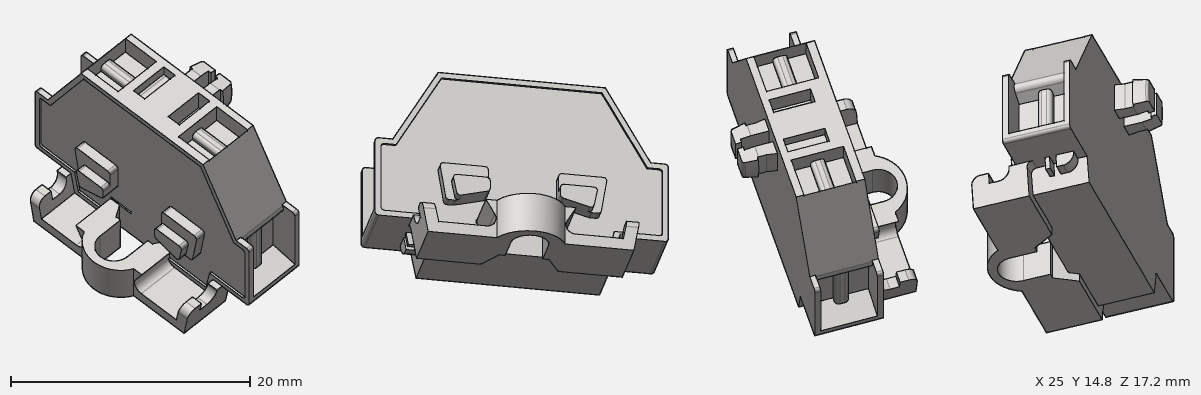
import cadquery as cq
import math


width = 25.0
height = 17.2
depth = 6.0
roof_half = 7.12
shoulder_half = 11.0
shoulder_z = 10.52
side_bottom_z = 3.22
foot_bottom_z = 0.78
foot_top_half = 8.3
foot_bottom_half = 7.82
corner_radius = 0.3
border = 0.5
panel_depth = 0.2

entry_y = (0.55, 5.5)
entry_back_x = 9.95
entry_mouth_floor_z = 4.0
entry_back_floor_z = 4.42
entry_back_roof_z = 9.08
entry_roof_angle = 30.0
entry_lip_radius = 0.6

bar_width = 1.25
bar_height = 0.68
bar_radius = 0.4
bar_y = 3.02

pocket_y = (0.75, 5.32)
pocket_inner_x = 3.52
pocket_overrun = 0.02
pocket_depth = 1.78
slot_y = (1.72, 5.35)
slot_x = (1.38, 2.68)
left_slot_depth = 1.0
left_ramp_width = 0.22
left_ramp_rise = 0.05
right_slot_depth = 1.95
right_ledge_depth = 1.78
right_ledge_width = 0.22
right_ramp_width = 0.32

peg_inner_x = 3.0
peg_toe_x = 5.8
peg_bottom_z = 4.9
peg_inner_bottom_z = 5.65
peg_base_top_z = 8.32
peg_base_top_x = 7.15
peg_base_bottom_x = 6.6
peg_base_projection = 0.75
peg_tip_top_z = 6.9
peg_tip_top_x = 6.2
peg_tip_projection = 1.58

clip_front_y = -3.98
clip_rear_y = 1.0
clip_half = 8.78
clip_floor_z = 1.02
clip_slant = math.tan(math.radians(10))
dovetail_top_z = 3.52
dovetail_half = 3.85
dovetail_angle = 60.0
dovetail_fillet = 0.8
ring_half = 2.9
ring_front_y = -5.78
eye_half = 1.6
eye_center_y = -3.38
flare_start_y = -0.95
flare_half = 2.12
flare_slope = 0.6
relief_x = (1.48, 3.85)
relief_z = (3.48, 3.7)
relief_depth = 0.5

hook_floor_z = 2.05
hook_notch_y = (-2.42, -0.6)
hook_notch_radius = 1.0
hook_front_top_z = 3.0
hook_nose_radius = 0.8
wall_rear_fillet = 0.5
key_y = (3.6, 5.18)
key_bottom_z = 2.12
rib_y = (2.62, 3.02)

pin_z = (13.15, 15.85)
pin_end = 3.02
pin_root_half = 1.78
pin_neck_half = 1.62
pin_neck_start = 0.9
pin_head_start = 1.7
pin_head_half = 2.02
pin_tip_half = 1.8
pin_tip_fillet = 0.25
pin_crown_radius = 7.25
pin_gap_half = 0.55
pin_lip_half = 0.25
pin_lip_start = 2.5
pin_taper_start = 1.6
pin_taper_drop = 0.2


def y_prism(outline, y_start, y_end):
    """Extrude a closed XZ sketch from y_start to y_end."""
    return outline.extrude(y_start - y_end).translate((0, y_start, 0))


def mirrored_pair(solid):
    return solid.union(solid.mirror("YZ"))


def box(x_range, y_range, z_range):
    sizes = [end - start for start, end in (x_range, y_range, z_range)]
    return cq.Workplane("XY").box(*sizes, centered=False).translate(
        (x_range[0], y_range[0], z_range[0])
    )


def foot_half(z):
    """Half width of the tapered foot at height z."""
    slope = (foot_top_half - foot_bottom_half) / (side_bottom_z - foot_bottom_z)
    return foot_bottom_half + slope * (z - foot_bottom_z)


def housing_outline(bottom_z):
    right_half = [
        (roof_half, height),
        (shoulder_half, shoulder_z),
        (width / 2, shoulder_z),
        (width / 2, side_bottom_z),
        (foot_top_half, side_bottom_z),
        (foot_half(bottom_z), bottom_z),
    ]
    left_half = [(-x, z) for x, z in reversed(right_half)]
    return cq.Workplane("XZ").polyline(right_half + left_half).close()


def make_housing():
    body = y_prism(housing_outline(foot_bottom_z), 0, depth)
    body = body.edges("|Y and (<X or >X)").fillet(corner_radius)
    panel = y_prism(housing_outline(clip_floor_z).offset2D(-border, "intersection"), 0, panel_depth)
    panel = panel.edges("|Y and (<X or >X)").fillet(corner_radius)
    eye_width = flare_half + flare_slope * (panel_depth - flare_start_y)
    runout = box((-eye_width, eye_width), (0, panel_depth), (foot_bottom_z, side_bottom_z))
    return body.cut(panel).cut(runout)


def contact_bar(length):
    """Round-topped bar along +X, standing on Z = 0 and centred on Y = 0."""
    bar = cq.Workplane("XY").box(length, bar_width, bar_height, centered=(False, True, False))
    return bar.edges("|X and >Z").fillet(bar_radius)


def wire_entry():
    """Right-hand wire entry, open at the end and through the shoulder."""
    roof_run = (shoulder_half - roof_half) / (height - shoulder_z)
    ceiling_rise = math.tan(math.radians(entry_roof_angle))
    x_at_back_roof = shoulder_half + roof_run * (shoulder_z - entry_back_roof_z)
    lip_rise = ceiling_rise * (x_at_back_roof - entry_back_x) / (1 + ceiling_rise * roof_run)
    lip = (x_at_back_roof - roof_run * lip_rise, entry_back_roof_z + lip_rise)
    cavity = y_prism(
        cq.Workplane("XZ").polyline([
            (entry_back_x, entry_back_floor_z),
            (width / 2, entry_mouth_floor_z),
            (width, entry_mouth_floor_z),
            (width, shoulder_z),
            (shoulder_half, shoulder_z),
            lip,
            (entry_back_x, entry_back_roof_z),
        ]).close(),
        *entry_y,
    )
    lip_selector = cq.selectors.NearestToPointSelector((lip[0], sum(entry_y) / 2, lip[1]))
    cavity = cavity.edges(lip_selector).fillet(entry_lip_radius)
    bar = contact_bar(height).rotate((0, 0, 0), (0, 1, 0), 90)
    bar = bar.translate((entry_back_x, bar_y, height))
    return cavity.cut(bar)


def roof_pocket():
    """Right-hand rectangular roof pocket with its contact bar."""
    outer_x = roof_half + pocket_overrun
    floor_z = height - pocket_depth
    pocket = box((pocket_inner_x, outer_x), pocket_y, (floor_z, height))
    bar = contact_bar(outer_x - pocket_inner_x).translate((pocket_inner_x, bar_y, floor_z))
    return pocket.cut(bar)


def left_slot():
    inner, outer = slot_x
    floor_z = height - left_slot_depth
    outline = cq.Workplane("XZ").polyline([
        (-inner, height),
        (-inner, floor_z),
        (-outer + left_ramp_width, floor_z),
        (-outer, floor_z + left_ramp_rise),
        (-outer, height),
    ]).close()
    return y_prism(outline, *slot_y)


def right_slot():
    inner, outer = slot_x
    ledge_x = outer - right_ledge_width
    outline = cq.Workplane("XZ").polyline([
        (inner, height),
        (inner, height - right_slot_depth),
        (ledge_x - right_ramp_width, height - right_slot_depth),
        (ledge_x, height - right_ledge_depth),
        (outer, height - right_ledge_depth),
        (outer, height),
    ]).close()
    return y_prism(outline, *slot_y)


def peg_plate(outline, projection):
    plate = y_prism(cq.Workplane("XZ").polyline(outline).close(), -projection, panel_depth)
    return plate.edges("|Y").fillet(corner_radius)


def make_peg():
    """Right-hand peg: two stacked plates sharing a slanted underside."""
    underside = [(peg_toe_x, peg_bottom_z), (peg_inner_x, peg_inner_bottom_z)]
    base_upper = [
        (peg_inner_x, peg_base_top_z),
        (peg_base_top_x, peg_base_top_z),
        (peg_base_bottom_x, peg_bottom_z),
    ]
    tip_upper = [(peg_inner_x, peg_tip_top_z), (peg_tip_top_x, peg_tip_top_z)]
    base = peg_plate(base_upper + underside, peg_base_projection)
    return base.union(peg_plate(tip_upper + underside, peg_tip_projection))


def wall_slab(z_range):
    """Slanted right-hand slab between the foot side and the clip's outer side."""
    bottom, top = z_range
    outline = cq.Workplane("XZ").polyline([
        (foot_half(bottom), bottom),
        (clip_half + clip_slant * bottom, bottom),
        (clip_half + clip_slant * top, top),
        (foot_half(top), top),
    ]).close()
    return y_prism(outline, clip_front_y, depth)


def quarter_arc(sketch, center, radius, angle_start, angle_end):
    """Continue a sketch with an arc given by its centre and angles in degrees."""
    def point(angle):
        radians = math.radians(angle)
        return (center[0] + radius * math.cos(radians), center[1] + radius * math.sin(radians))

    return sketch.threePointArc(point((angle_start + angle_end) / 2), point(angle_end))


def hook_wall():
    notch_front, notch_rear = hook_notch_y
    nose_center = (clip_front_y + hook_nose_radius, hook_front_top_z - hook_nose_radius)
    notch_center = (notch_rear - hook_notch_radius, hook_floor_z + hook_notch_radius)
    rear_center = (clip_rear_y + wall_rear_fillet, side_bottom_z - wall_rear_fillet)
    side = cq.Workplane("YZ").moveTo(clip_front_y, 0).lineTo(clip_front_y, nose_center[1])
    side = quarter_arc(side, nose_center, hook_nose_radius, 180, 90)
    side = side.lineTo(notch_front, hook_front_top_z).lineTo(notch_front, hook_floor_z)
    side = side.lineTo(notch_center[0], hook_floor_z)
    side = quarter_arc(side, notch_center, hook_notch_radius, -90, 0)
    side = side.lineTo(notch_rear, side_bottom_z).lineTo(rear_center[0], side_bottom_z)
    side = quarter_arc(side, rear_center, wall_rear_fillet, 90, 180)
    side = side.lineTo(clip_rear_y, 0).close().extrude(width)
    return side.intersect(wall_slab((0, side_bottom_z)))


def foot_keys():
    """Rounded key and thin rib beside the foot, under the shoulder."""
    front, rear = key_y
    round_center = (rear - hook_notch_radius, key_bottom_z + hook_notch_radius)
    key = cq.Workplane("YZ").moveTo(front, side_bottom_z).lineTo(front, key_bottom_z)
    key = key.lineTo(round_center[0], key_bottom_z)
    key = quarter_arc(key, round_center, hook_notch_radius, -90, 0)
    key = key.lineTo(rear, side_bottom_z).close().extrude(width)
    rib = box((0, width), rib_y, (key_bottom_z, side_bottom_z))
    return key.union(rib).intersect(wall_slab((key_bottom_z, side_bottom_z)))


def clip_floor():
    top_half = clip_half + clip_slant * clip_floor_z
    outline = cq.Workplane("XZ").polyline([
        (-clip_half, 0),
        (clip_half, 0),
        (top_half, clip_floor_z),
        (-top_half, clip_floor_z),
    ]).close()
    return y_prism(outline, clip_front_y, clip_rear_y)


def dovetail():
    """Undercut block on the clip floor, blended into it by concave fillets."""
    angle = math.radians(dovetail_angle)
    root_half = dovetail_half - (dovetail_top_z - clip_floor_z) / math.tan(angle)
    tangent_length = dovetail_fillet / math.tan(angle / 2)
    blend_x = root_half + tangent_length
    flank = (
        root_half + tangent_length * math.cos(angle),
        clip_floor_z + tangent_length * math.sin(angle),
    )
    bisector = dovetail_fillet / math.sin(angle / 2) - dovetail_fillet
    middle = (
        root_half + bisector * math.cos(angle / 2),
        clip_floor_z + bisector * math.sin(angle / 2),
    )
    half = (
        cq.Workplane("XZ")
        .moveTo(0, 0)
        .lineTo(blend_x, 0)
        .lineTo(blend_x, clip_floor_z)
        .threePointArc(middle, flank)
        .lineTo(dovetail_half, dovetail_top_z)
        .lineTo(0, dovetail_top_z)
        .close()
    )
    return mirrored_pair(y_prism(half, clip_front_y, panel_depth))


def clip_ring():
    return (
        cq.Workplane("XY")
        .moveTo(-ring_half, clip_front_y)
        .threePointArc((0, ring_front_y), (ring_half, clip_front_y))
        .close()
        .extrude(dovetail_top_z)
    )


def clip_eye():
    """U-shaped opening that flares towards the rear."""
    rear_half = flare_half + flare_slope * (clip_rear_y - flare_start_y)
    return (
        cq.Workplane("XY")
        .moveTo(-rear_half, clip_rear_y)
        .lineTo(-flare_half, flare_start_y)
        .lineTo(-eye_half, flare_start_y)
        .lineTo(-eye_half, eye_center_y)
        .threePointArc((0, eye_center_y - eye_half), (eye_half, eye_center_y))
        .lineTo(eye_half, flare_start_y)
        .lineTo(flare_half, flare_start_y)
        .lineTo(rear_half, clip_rear_y)
        .close()
        .extrude(dovetail_top_z)
    )


def make_clip():
    clip = clip_floor().union(dovetail()).union(clip_ring())
    return clip.cut(clip_eye()).union(mirrored_pair(hook_wall()))


def dovetail_relief():
    """Shallow slit in the panel above each arm of the clip."""
    return box(relief_x, (0, panel_depth + relief_depth), relief_z)


def pin_neck():
    neck = cq.Workplane("XY").polyline([
        (0, 0),
        (pin_root_half, 0),
        (pin_neck_half, pin_neck_start),
        (pin_neck_half, pin_head_start),
        (0, pin_head_start),
    ]).close()
    return neck.extrude(height)


def pin_head():
    """Head revolved about a distant axis, which crowns its outer side."""
    outline = cq.Workplane("XY").polyline([
        (0, pin_head_start),
        (pin_head_half, pin_head_start),
        (pin_tip_half, pin_end),
        (0, pin_end),
    ]).close()
    axis_x = pin_head_half - pin_crown_radius
    head = outline.revolve(360, (axis_x, 0, 0), (axis_x, 1, 0))
    head = head.edges(">Y").edges("%CIRCLE").edges(cq.selectors.RadiusNthSelector(-1))
    return head.fillet(pin_tip_fillet).translate((0, 0, sum(pin_z) / 2))


def make_pin():
    """Split snap pin; both prongs, with the head tapered above and below."""
    bottom, top = pin_z
    side = cq.Workplane("YZ").polyline([
        (0, bottom),
        (pin_taper_start, bottom),
        (pin_end, bottom + pin_taper_drop),
        (pin_end, top - pin_taper_drop),
        (pin_taper_start, top),
        (0, top),
    ]).close().extrude(width)
    gap = box((0, pin_gap_half), (0, pin_lip_start), (0, height))
    gap = gap.union(box((0, pin_lip_half), (0, pin_end), (0, height)))
    prong = side.intersect(pin_neck().union(pin_head())).cut(gap)
    return mirrored_pair(prong).translate((0, depth, 0))


housing = (
    make_housing()
    .cut(mirrored_pair(wire_entry()))
    .cut(mirrored_pair(roof_pocket()))
    .cut(left_slot())
    .cut(right_slot())
    .cut(mirrored_pair(dovetail_relief()))
)
result = (
    housing
    .union(make_clip())
    .union(mirrored_pair(foot_keys()))
    .union(mirrored_pair(make_peg()))
    .union(make_pin())
)